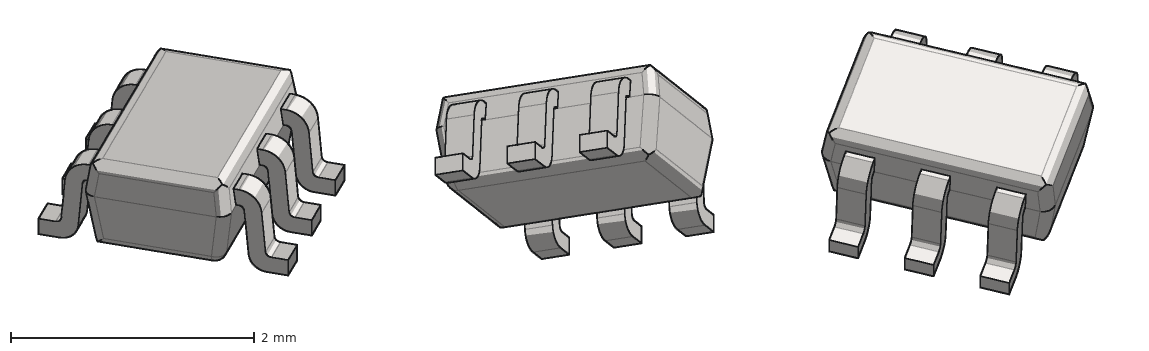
import cadquery as cq
import math

overall_width = 2.15
overall_height = 0.9

housing_width = 1.25
housing_length = 2.0
housing_standoff = 0.085
housing_draft = 8.0
housing_edge_radius = 0.1

leads_per_side = 3
lead_pitch = 0.65
lead_width = 0.25
lead_thickness = 0.15
lead_top = 0.752
lead_lean = 5.0
foot_flat_length = 0.146
bend_inner_radius = 0.05
heel_radius = 0.16

parting_height = lead_top - lead_thickness
shoulder_radius = bend_inner_radius + lead_thickness
draft_slope = math.tan(math.radians(housing_draft))


def make_housing_half(height):
    """Block that tapers away from the parting plane; a negative height goes downward."""
    return (
        cq.Workplane("XY", origin=(0, 0, parting_height))
        .rect(housing_width, housing_length)
        .extrude(height, taper=housing_draft)
    )


def make_housing():
    """Both halves joined, with every edge rounded except the parting line.

    The block is rounded along one set of edges at a time and the results are
    intersected, so the rounds meet at a corner in three mitre lines. The bottom
    corner at +X, -Y is blended by a ball instead.
    """
    upper_half = make_housing_half(overall_height - parting_height)
    lower_half = make_housing_half(housing_standoff - parting_height)
    block = upper_half.union(lower_half)

    end_faces = block.faces("|Z")
    edges_along_x = end_faces.edges("|X")
    edges_along_y = end_faces.edges("|Y")
    upright_edges = block.edges("not #Z")
    ball_corner_edges = block.faces("<Z").vertices(">X and <Y").ancestors("Edge")

    rounded = edges_along_x.fillet(housing_edge_radius)
    rounded = rounded.intersect(edges_along_y.fillet(housing_edge_radius))
    rounded = rounded.intersect(upright_edges.fillet(housing_edge_radius))
    return rounded.intersect(ball_corner_edges.fillet(housing_edge_radius))


def arc_point(center, radius, angle):
    """Point on a circle in the XZ plane, angle in degrees from +X towards +Z."""
    turn = math.radians(angle)
    return (center[0] + radius * math.cos(turn), center[1] + radius * math.sin(turn))


def make_lead(center_y):
    """Lead on the -X side, ending flush on the sloped side face of the housing."""
    tip_x = -overall_width / 2
    lean_slope = math.tan(math.radians(lead_lean))
    lean_cosine = math.cos(math.radians(lead_lean))

    foot_center = (tip_x + foot_flat_length, lead_thickness + bend_inner_radius)
    shoulder_rise = lead_top - shoulder_radius - foot_center[1]
    shoulder_run = (bend_inner_radius + shoulder_radius) / lean_cosine + shoulder_rise * lean_slope
    shoulder_center = (foot_center[0] + shoulder_run, foot_center[1] + shoulder_rise)

    heel_drop = foot_center[1] - heel_radius
    heel_run = (bend_inner_radius + lead_thickness - heel_radius) / lean_cosine - heel_drop * lean_slope
    heel_center = (foot_center[0] + heel_run, heel_radius)

    foot_end_angle = -lead_lean
    foot_mid_angle = (foot_end_angle - 90) / 2
    shoulder_end_angle = 180 - lead_lean
    shoulder_mid_angle = (shoulder_end_angle + 90) / 2

    housing_x = -housing_width / 2
    housing_x_at_top = housing_x + lead_thickness * draft_slope

    profile = (
        cq.Workplane("XZ", origin=(0, center_y, 0))
        .moveTo(tip_x, 0)
        .lineTo(heel_center[0], 0)
        .threePointArc(
            arc_point(heel_center, heel_radius, foot_mid_angle),
            arc_point(heel_center, heel_radius, foot_end_angle),
        )
        .lineTo(*arc_point(shoulder_center, bend_inner_radius, shoulder_end_angle))
        .threePointArc(
            arc_point(shoulder_center, bend_inner_radius, shoulder_mid_angle),
            (shoulder_center[0], parting_height),
        )
        .lineTo(housing_x, parting_height)
        .lineTo(housing_x_at_top, lead_top)
        .lineTo(shoulder_center[0], lead_top)
        .threePointArc(
            arc_point(shoulder_center, shoulder_radius, shoulder_mid_angle),
            arc_point(shoulder_center, shoulder_radius, shoulder_end_angle),
        )
        .lineTo(*arc_point(foot_center, bend_inner_radius, foot_end_angle))
        .threePointArc(
            arc_point(foot_center, bend_inner_radius, foot_mid_angle),
            (foot_center[0], lead_thickness),
        )
        .lineTo(tip_x, lead_thickness)
        .close()
    )
    return profile.extrude(lead_width / 2, both=True)


housing = make_housing()

leads = []
for index in range(leads_per_side):
    row_y = (index - (leads_per_side - 1) / 2) * lead_pitch
    left_lead = make_lead(row_y)
    right_lead = left_lead.mirror("YZ")
    leads.append(left_lead.val())
    leads.append(right_lead.val())

result = cq.Compound.makeCompound([*housing.solids().vals(), *leads])